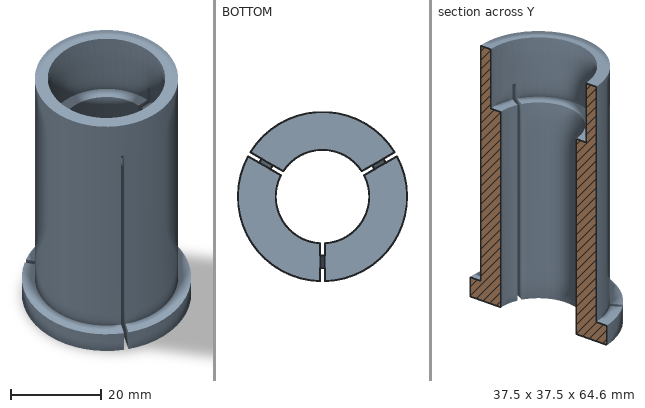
import cadquery as cq

total_height = 64.6
flange_diameter = 37.5
flange_thickness = 5.0
sleeve_diameter = 31.75

pocket_diameter = 26.0
pocket_depth = 15.0
hole_diameter = 20.64

slot_count = 3
slot_width = 1.0
solid_ring_height = 9.0
slot_height = total_height - solid_ring_height
wall_thickness = (sleeve_diameter - pocket_diameter) / 2
slot_end_drop = 2.15
first_slot_angle = 90.0


def make_body():
    """Sleeve standing on its flange, with the base on Z = 0."""
    flange = cq.Workplane("XY").circle(flange_diameter / 2).extrude(flange_thickness)
    sleeve = cq.Workplane("XY").circle(sleeve_diameter / 2).extrude(total_height)
    return flange.union(sleeve)


def make_bore():
    """Through hole with the wider pocket at its upper end."""
    hole = cq.Workplane("XY").circle(hole_diameter / 2).extrude(total_height)
    pocket = (
        cq.Workplane("XY")
        .workplane(offset=total_height - pocket_depth)
        .circle(pocket_diameter / 2)
        .extrude(pocket_depth)
    )
    return hole.union(pocket)


def make_slot(angle):
    """Radial slot open at the base, its closed end falling from the sleeve surface inward."""
    inner_top = slot_height - slot_end_drop / wall_thickness * sleeve_diameter / 2
    profile = [
        (0, 0),
        (flange_diameter, 0),
        (flange_diameter, slot_height),
        (sleeve_diameter / 2, slot_height),
        (0, inner_top),
    ]
    return (
        cq.Workplane("XZ")
        .polyline(profile)
        .close()
        .extrude(slot_width / 2, both=True)
        .rotate((0, 0, 0), (0, 0, 1), angle)
    )


result = make_body().cut(make_bore())
for index in range(slot_count):
    slot_angle = first_slot_angle + index * 360.0 / slot_count
    result = result.cut(make_slot(slot_angle))